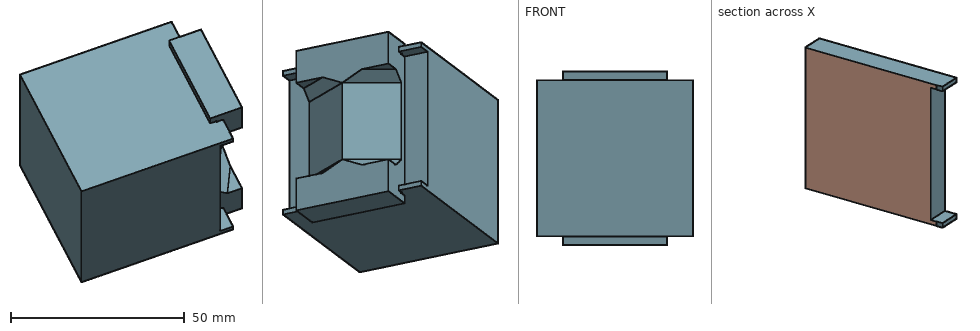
import cadquery as cq
import math

housing_size = 45.0
housing_length = 43.5

tongue_length = 4.0
tongue_thickness = 1.5

notch_depth = 2.0
notch_side_gap = 0.2
groove_gap = 0.05

bracket_width = 30.0
bracket_depth = 10.0
bracket_height = 50.0

recess_height = 30.0
recess_depth = 8.0
recess_chamfer = 3.0

housing_bottom = (bracket_height - housing_size) / 2
center_x = housing_size / 2
bracket_left = center_x - bracket_width / 2
bracket_back = housing_length + bracket_depth
tongue_end = housing_length + tongue_length


def make_housing():
    """Square block with a notched tongue along its top and bottom back edges."""
    block = cq.Workplane("XY").box(housing_size, tongue_end, housing_size, centered=False)
    gap_between_tongues = (
        cq.Workplane("XY")
        .box(housing_size, tongue_length, housing_size - 2 * tongue_thickness, centered=False)
        .translate((0, housing_length, tongue_thickness))
    )
    notch_width = bracket_width + 2 * notch_side_gap
    notches = (
        cq.Workplane("XY")
        .box(notch_width, notch_depth, housing_size, centered=False)
        .translate((bracket_left - notch_side_gap, tongue_end - notch_depth, 0))
    )
    return block.cut(gap_between_tongues).cut(notches).translate((0, 0, housing_bottom))


def make_recess_cutter():
    """Block lying along the left ramp, chamfered where the ramp meets the recess ends."""
    ramp_run = bracket_width / 2
    ramp_length = math.hypot(ramp_run, recess_depth)
    ramp_angle = math.degrees(math.atan2(recess_depth, ramp_run))
    block_length = 3 * ramp_length
    block_thickness = ramp_run
    return (
        cq.Workplane("XY")
        .box(block_length, block_thickness, recess_height, centered=(True, False, True))
        .faces("<Y")
        .edges("|X")
        .chamfer(recess_chamfer)
        .rotate((0, 0, 0), (0, 0, 1), ramp_angle)
        .translate((center_x, bracket_back, bracket_height / 2))
    )


def make_bracket():
    """Upright block, grooved for the tongues, its back hollowed from both sides to a central ridge."""
    block = (
        cq.Workplane("XY")
        .box(bracket_width, bracket_depth, bracket_height, centered=False)
        .translate((bracket_left, housing_length, 0))
    )
    groove_depth = tongue_length - notch_depth
    groove_height = tongue_thickness + 2 * groove_gap
    groove = (
        cq.Workplane("XY")
        .box(bracket_width, groove_depth, groove_height, centered=False)
        .translate((bracket_left, housing_length, -groove_gap))
    )
    upper_tongue_bottom = housing_bottom + housing_size - tongue_thickness
    for tongue_bottom in (housing_bottom, upper_tongue_bottom):
        block = block.cut(groove.translate((0, 0, tongue_bottom)))
    left_recess = make_recess_cutter()
    right_recess = left_recess.mirror("YZ", (center_x, 0, 0))
    return block.cut(left_recess).cut(right_recess)


housing = make_housing()
bracket = make_bracket()

result = cq.Compound.makeCompound([housing.val(), bracket.val()])